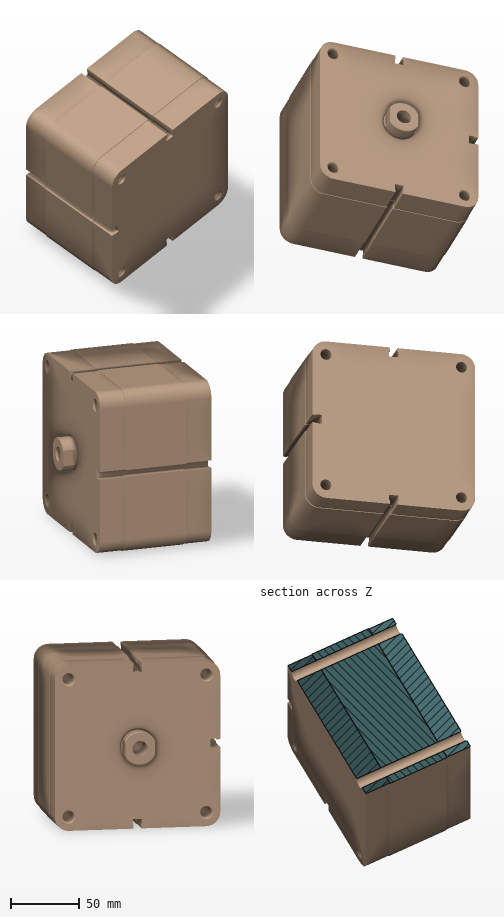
import cadquery as cq
import math


cover_length = 19.85
barrel_length = 47.05
rod_protrusion = 10.25
cover_face_x = 0.0
barrel_start_x = cover_face_x + cover_length
rear_cover_start_x = barrel_start_x + barrel_length
rod_tip_x = cover_face_x - rod_protrusion

barrel_side = 124.0
cover_setback = 0.45
cover_side = barrel_side - 2 * cover_setback
barrel_corner_radius = 11.0
cover_corner_radius = barrel_corner_radius - cover_setback

slot_mouth_width = 5.0
slot_lip = 0.5
slot_mouth_depth = 3.8
slot_depth = 7.1
slot_angles = (0, 90, 180)

screw_spacing = 102.5
screw_hole_diameter = 8.3
screw_hole_chamfer = 0.75

rod_diameter = 25.0
rod_tip_chamfer = 0.5
rod_hole_chamfer = 0.65
flat_width = 22.0
flat_length = 8.6
flat_runout = 0.5
rod_bore_diameter = 11.2
rod_bore_depth = 22.0
drill_tip_angle = 118


def cross_section_plane(x):
    """Plane across the stroke axis: local x is Y, local y is Z, normal is +X."""
    return cq.Workplane("YZ", origin=(x, 0, 0))


def slot_cutter(start_x, length, side, clearance):
    """Stepped slot in the +Z face, its undercut walls and floor grown outward by the clearance."""
    half_mouth = slot_mouth_width / 2 + clearance
    half_floor = half_mouth + slot_lip
    top_z = side / 2
    lip_z = barrel_side / 2 - slot_mouth_depth + clearance
    floor_z = barrel_side / 2 - slot_depth - clearance
    outline = [
        (-half_mouth, top_z),
        (-half_mouth, lip_z),
        (-half_floor, lip_z),
        (-half_floor, floor_z),
        (half_floor, floor_z),
        (half_floor, lip_z),
        (half_mouth, lip_z),
        (half_mouth, top_z),
    ]
    return cross_section_plane(start_x).polyline(outline).close().extrude(length)


def square_block(start_x, length, side, corner_radius, slot_clearance):
    """Rounded square block with the sensor slots and corner screw holes."""
    block = (
        cross_section_plane(start_x).rect(side, side).extrude(length)
        .edges("|X").fillet(corner_radius)
    )
    cutter = slot_cutter(start_x, length, side, slot_clearance)
    for angle in slot_angles:
        block = block.cut(cutter.rotate((0, 0, 0), (1, 0, 0), angle))
    screw_holes = (
        cross_section_plane(start_x)
        .rect(screw_spacing, screw_spacing, forConstruction=True).vertices()
        .circle(screw_hole_diameter / 2).extrude(length)
    )
    return block.cut(screw_holes)


def cover_block(start_x):
    return square_block(start_x, cover_length, cover_side, cover_corner_radius, cover_setback)


def chamfer_cone(mouth_x, hole_diameter, chamfer, center):
    """Cone that breaks a hole's edge at 45 degrees where it opens toward -X."""
    cone = cq.Solid.makeCone(
        hole_diameter / 2 + chamfer,
        hole_diameter / 2,
        chamfer,
        pnt=cq.Vector(mouth_x, *center),
        dir=cq.Vector(1, 0, 0),
    )
    return cq.Workplane(obj=cone)


def make_front_cover():
    cover = cover_block(cover_face_x)
    rod_hole = cross_section_plane(cover_face_x).circle(rod_diameter / 2).extrude(cover_length)
    cover = cover.cut(rod_hole)
    cover = cover.cut(chamfer_cone(cover_face_x, rod_diameter, rod_hole_chamfer, (0, 0)))
    half_spacing = screw_spacing / 2
    for y in (-half_spacing, half_spacing):
        for z in (-half_spacing, half_spacing):
            cone = chamfer_cone(cover_face_x, screw_hole_diameter, screw_hole_chamfer, (y, z))
            cover = cover.cut(cone)
    return cover


def make_barrel():
    return square_block(barrel_start_x, barrel_length, barrel_side, barrel_corner_radius, 0)


def make_rear_cover():
    return cover_block(rear_cover_start_x)


def wrench_flat_cutter():
    """Prism beside the rod on +Y, with a sloped run-out at its inner end."""
    flat_y = flat_width / 2
    outer_y = rod_diameter / 2
    flat_end_x = rod_tip_x + flat_length
    outline = [
        (rod_tip_x, flat_y),
        (flat_end_x, flat_y),
        (flat_end_x + flat_runout, outer_y),
        (rod_tip_x, outer_y),
    ]
    return cq.Workplane("XY").polyline(outline).close().extrude(rod_diameter / 2, both=True)


def rod_bore_cutter():
    """Blind drilled bore with a conical bottom, opening at the rod tip."""
    radius = rod_bore_diameter / 2
    tip_length = radius / math.tan(math.radians(drill_tip_angle / 2))
    bore_end_x = rod_tip_x + rod_bore_depth
    outline = [
        (rod_tip_x, 0),
        (rod_tip_x, radius),
        (bore_end_x, radius),
        (bore_end_x + tip_length, 0),
    ]
    return cq.Workplane("XY").polyline(outline).close().revolve(360, (0, 0, 0), (1, 0, 0))


def make_piston_rod():
    """Rod from its tip to the barrel, filling the hole in the front cover."""
    rod = (
        cross_section_plane(rod_tip_x).circle(rod_diameter / 2)
        .extrude(barrel_start_x - rod_tip_x)
        .faces("<X").chamfer(rod_tip_chamfer)
    )
    flat = wrench_flat_cutter()
    rod = rod.cut(flat).cut(flat.mirror("XZ"))
    return rod.cut(rod_bore_cutter())


front_cover = make_front_cover()
barrel = make_barrel()
rear_cover = make_rear_cover()
piston_rod = make_piston_rod()

result = cq.Compound.makeCompound(
    [front_cover.val(), barrel.val(), rear_cover.val(), piston_rod.val()]
)